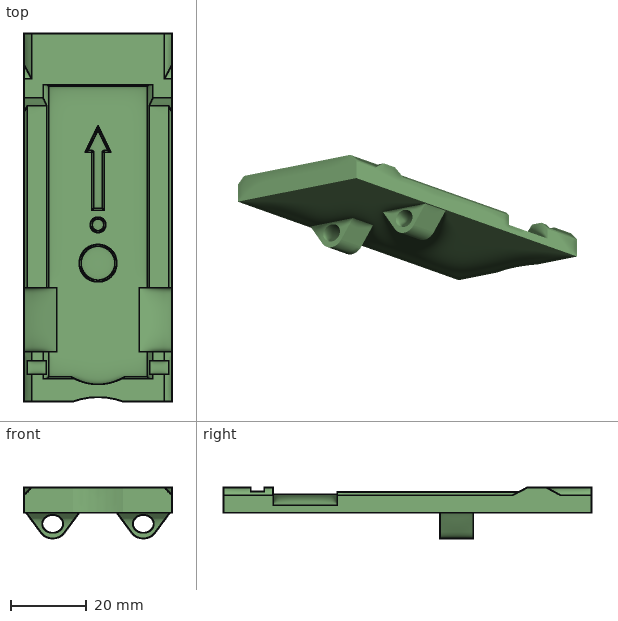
import cadquery as cq
import math

LENGTH = 97.0
WIDTH = 39.0
THICKNESS = 6.7
HALF_LENGTH = LENGTH / 2
HALF_WIDTH = WIDTH / 2
EDGE_CHAMFER = 2.0
CUT_MARGIN = 1.0

SHOULDER_BACK_Y = 36.5
SHOULDER_FRONT_Y = 31.5
RAMP_ANGLE = 28.3
BEVEL_RAMP_RUN = EDGE_CHAMFER / math.tan(math.radians(RAMP_ANGLE))

RAIL_DROP = 1.2
RAIL_RAMP_RUN = RAIL_DROP / math.tan(math.radians(RAMP_ANGLE))
RAIL_OUTER_X = HALF_WIDTH - EDGE_CHAMFER + RAIL_DROP
RAIL_INNER_X = 13.6

TRAY_DEPTH = 1.7
TRAY_TOP_HALF_WIDTH = 14.5
TRAY_FLOOR_HALF_WIDTH = 13.0
TRAY_BACK_Y = 35.0
TRAY_FRONT_Y = -42.5
TRAY_END_BEVEL = 0.5
TRAY_BULGE_HALF_CHORD = 7.0
TRAY_BULGE_DEPTH = 1.5

FINGER_BACK_Y = -18.5
FINGER_FRONT_Y = -35.4
FINGER_INNER_X = 10.9
FINGER_EDGE_DROP = 4.7

NOTCH_BACK_Y = -37.7
NOTCH_FRONT_Y = -41.2

FRONT_ARC_HALF_CHORD = 6.6
FRONT_ARC_DEPTH = 1.2

MARK_DEPTH = 0.5
MARK_TAPER = 45.0
ARROW_TIP_Y = 24.2
ARROW_HEAD_Y = 17.2
ARROW_TAIL_Y = 1.9
ARROW_HEAD_HALF_WIDTH = 3.4
ARROW_SHAFT_HALF_WIDTH = 1.65
SMALL_DIMPLE_Y = -1.9
SMALL_DIMPLE_RADIUS = 2.0
LARGE_DIMPLE_Y = -12.0
LARGE_DIMPLE_RADIUS = 4.9

LUG_X = 11.9
LUG_BACK_Y = 17.4
LUG_LENGTH = 8.8
LUG_HALF_BASE = 7.0
LUG_NOSE_RADIUS = 3.9
LUG_EYE_DROP = 2.9
LUG_EYE_HALF_WIDTH = 2.7
LUG_EYE_HALF_HEIGHT = 2.3


def box(x_min, x_max, y_min, y_max, z_min, z_max):
    size = (x_max - x_min, y_max - y_min, z_max - z_min)
    return cq.Workplane("XY").box(*size, centered=False).translate((x_min, y_min, z_min))


def with_mirror(solid):
    """The solid together with its copy on the other side of the YZ plane."""
    return solid.union(solid.mirror("YZ"))


def extrude_along_x(points, x_min, x_max):
    """Prism along X from a list of (y, z) points."""
    return cq.Workplane("YZ").polyline(points).close().extrude(x_max - x_min).translate((x_min, 0, 0))


def extrude_along_y(points, y_min, y_max):
    """Prism along Y from a list of (x, z) points."""
    profile = cq.Workplane("XZ").polyline(points).close()
    return profile.extrude(y_min - y_max).translate((0, y_min, 0))


def base_plate():
    plate = (
        cq.Workplane("XY")
        .moveTo(-HALF_WIDTH, -HALF_LENGTH)
        .lineTo(-FRONT_ARC_HALF_CHORD, -HALF_LENGTH)
        .threePointArc((0, -HALF_LENGTH + FRONT_ARC_DEPTH), (FRONT_ARC_HALF_CHORD, -HALF_LENGTH))
        .lineTo(HALF_WIDTH, -HALF_LENGTH)
        .lineTo(HALF_WIDTH, HALF_LENGTH)
        .lineTo(-HALF_WIDTH, HALF_LENGTH)
        .close()
        .extrude(-THICKNESS)
    )
    return plate


def edge_bevel():
    """Wedges removed along the long edges, except at the sloped head shoulders."""
    wedge = extrude_along_y(
        [(HALF_WIDTH - EDGE_CHAMFER, 0), (HALF_WIDTH, -EDGE_CHAMFER), (HALF_WIDTH, 0)],
        -HALF_LENGTH,
        HALF_LENGTH,
    )
    shoulder = extrude_along_x(
        [
            (SHOULDER_BACK_Y, 0),
            (SHOULDER_BACK_Y + BEVEL_RAMP_RUN, -EDGE_CHAMFER),
            (SHOULDER_FRONT_Y - BEVEL_RAMP_RUN, -EDGE_CHAMFER),
            (SHOULDER_FRONT_Y, 0),
        ],
        0,
        HALF_WIDTH,
    )
    return with_mirror(wedge.cut(shoulder))


def rail_step():
    """Lowers both side rails, ramping down from the head."""
    step = extrude_along_x(
        [
            (SHOULDER_FRONT_Y, 0),
            (SHOULDER_FRONT_Y - RAIL_RAMP_RUN, -RAIL_DROP),
            (FINGER_BACK_Y, -RAIL_DROP),
            (FINGER_BACK_Y, 0),
        ],
        0,
        HALF_WIDTH,
    )
    return with_mirror(step)


def tray():
    """Recess with sloped sides, bevelled ends and a rounded bulge at the front."""
    sides = extrude_along_y(
        [
            (-TRAY_TOP_HALF_WIDTH, 0),
            (TRAY_TOP_HALF_WIDTH, 0),
            (TRAY_FLOOR_HALF_WIDTH, -TRAY_DEPTH),
            (-TRAY_FLOOR_HALF_WIDTH, -TRAY_DEPTH),
        ],
        TRAY_FRONT_Y,
        TRAY_BACK_Y,
    )
    bevel_z = TRAY_END_BEVEL - TRAY_DEPTH
    ends = extrude_along_x(
        [
            (TRAY_FRONT_Y, 0),
            (TRAY_FRONT_Y, bevel_z),
            (TRAY_FRONT_Y + TRAY_END_BEVEL, -TRAY_DEPTH),
            (TRAY_BACK_Y - TRAY_END_BEVEL, -TRAY_DEPTH),
            (TRAY_BACK_Y, bevel_z),
            (TRAY_BACK_Y, 0),
        ],
        -HALF_WIDTH,
        HALF_WIDTH,
    )
    chord_y = TRAY_FRONT_Y + TRAY_END_BEVEL
    bulge = (
        cq.Workplane("XY")
        .moveTo(-TRAY_BULGE_HALF_CHORD, chord_y)
        .threePointArc((0, TRAY_FRONT_Y - TRAY_BULGE_DEPTH), (TRAY_BULGE_HALF_CHORD, chord_y))
        .close()
        .extrude(-TRAY_DEPTH)
    )
    return sides.intersect(ends).union(bulge)


def finger_recesses():
    recess = extrude_along_y(
        [
            (FINGER_INNER_X, 0),
            (FINGER_INNER_X, -TRAY_DEPTH),
            (HALF_WIDTH, -FINGER_EDGE_DROP),
            (HALF_WIDTH, 0),
        ],
        FINGER_FRONT_Y,
        FINGER_BACK_Y,
    )
    return with_mirror(recess)


def notches():
    notch = box(RAIL_INNER_X, RAIL_OUTER_X, NOTCH_FRONT_Y, NOTCH_BACK_Y, -RAIL_DROP, CUT_MARGIN)
    return with_mirror(notch)


def tray_marks():
    """Arrow and two round dimples, narrowing towards their floors."""
    floor = cq.Workplane("XY").workplane(offset=-TRAY_DEPTH)
    arrow = (
        floor.polyline(
            [
                (0, ARROW_TIP_Y),
                (ARROW_HEAD_HALF_WIDTH, ARROW_HEAD_Y),
                (ARROW_SHAFT_HALF_WIDTH, ARROW_HEAD_Y),
                (ARROW_SHAFT_HALF_WIDTH, ARROW_TAIL_Y),
                (-ARROW_SHAFT_HALF_WIDTH, ARROW_TAIL_Y),
                (-ARROW_SHAFT_HALF_WIDTH, ARROW_HEAD_Y),
                (-ARROW_HEAD_HALF_WIDTH, ARROW_HEAD_Y),
            ]
        )
        .close()
        .extrude(-MARK_DEPTH, taper=MARK_TAPER)
    )
    marks = arrow
    for y, radius in ((SMALL_DIMPLE_Y, SMALL_DIMPLE_RADIUS), (LARGE_DIMPLE_Y, LARGE_DIMPLE_RADIUS)):
        dimple = floor.center(0, y).circle(radius).extrude(-MARK_DEPTH, taper=MARK_TAPER)
        marks = marks.union(dimple)
    return marks


def lugs():
    """Two hanging eyes: straight flanks tangent to a round nose."""
    base_distance = math.hypot(LUG_HALF_BASE, LUG_EYE_DROP)
    base_angle = math.atan2(LUG_EYE_DROP, LUG_HALF_BASE)
    tangent_angle = base_angle - math.acos(LUG_NOSE_RADIUS / base_distance)
    tangent_x = LUG_NOSE_RADIUS * math.cos(tangent_angle)
    tangent_z = LUG_NOSE_RADIUS * math.sin(tangent_angle) - LUG_EYE_DROP
    nose_z = -LUG_EYE_DROP - LUG_NOSE_RADIUS
    body = (
        cq.Workplane("XZ")
        .moveTo(-LUG_HALF_BASE, 0)
        .lineTo(-tangent_x, tangent_z)
        .threePointArc((0, nose_z), (tangent_x, tangent_z))
        .lineTo(LUG_HALF_BASE, 0)
        .close()
        .extrude(LUG_LENGTH)
    )
    eye = (
        cq.Workplane("XZ")
        .center(0, -LUG_EYE_DROP)
        .ellipse(LUG_EYE_HALF_WIDTH, LUG_EYE_HALF_HEIGHT)
        .extrude(LUG_LENGTH)
    )
    return with_mirror(body.cut(eye).translate((LUG_X, LUG_BACK_Y, -THICKNESS)))


result = (
    base_plate()
    .cut(edge_bevel())
    .cut(rail_step())
    .cut(tray())
    .cut(finger_recesses())
    .cut(notches())
    .cut(tray_marks())
    .union(lugs())
)